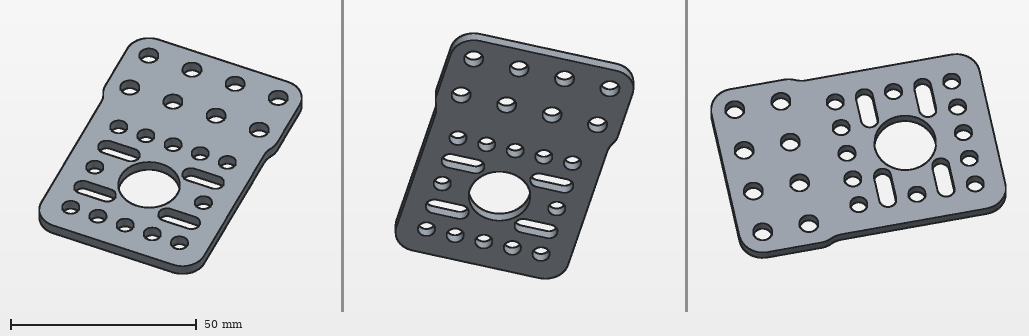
import cadquery as cq
import math

length = 73.4
head_width = 50.8
body_width = 48.0
thickness = 3.15
corner_radius = 6.4
head_side_end = 21.2

head_pitch = 12.7
head_hole_diameter = 5.15
body_pitch = 8.0
body_hole_diameter = 4.6
bore_diameter = 16.6
slot_width = 4.6
slot_length = 11.8

half_head = head_width / 2
half_body = body_width / 2
top_y = length / 2
bottom_y = -length / 2
bore_y = bottom_y + half_body

shoulder_step = half_head - half_body
shoulder_drop = math.sqrt(shoulder_step * (4 * corner_radius - shoulder_step))
shoulder_top_y = top_y - head_side_end
shoulder_middle = (half_head - shoulder_step / 2, shoulder_top_y - shoulder_drop / 2)
shoulder_bottom = (half_body, shoulder_top_y - shoulder_drop)


def make_plate():
    """Half outline on the +X side, mirrored and extruded, with rounded corners."""
    plate = (
        cq.Workplane("XY")
        .moveTo(0, top_y)
        .lineTo(half_head, top_y)
        .lineTo(half_head, shoulder_top_y)
        .tangentArcPoint(shoulder_middle, relative=False)
        .tangentArcPoint(shoulder_bottom, relative=False)
        .lineTo(half_body, bottom_y)
        .lineTo(0, bottom_y)
        .mirrorY()
        .extrude(thickness)
    )
    for end_face in (">Y", "<Y"):
        plate = plate.faces(end_face).edges("|Z").fillet(corner_radius)
    return plate


def through_holes(points, diameter):
    return cq.Workplane("XY").pushPoints(points).circle(diameter / 2).extrude(thickness)


head_points = [
    (column * head_pitch, top_y - corner_radius - row * head_pitch)
    for column in (-1.5, -0.5, 0.5, 1.5)
    for row in (0, 1)
]

body_points = [
    (column * body_pitch, bore_y + row * body_pitch)
    for row in (-2, 2)
    for column in range(-2, 3)
]
body_points += [(side * 2 * body_pitch, bore_y) for side in (-1, 1)]

slot_x = 2 * body_pitch - (slot_length - slot_width) / 2
slot_points = [
    (side * slot_x, bore_y + row * body_pitch)
    for side in (-1, 1)
    for row in (-1, 1)
]
slots = cq.Workplane("XY").pushPoints(slot_points).slot2D(slot_length, slot_width).extrude(thickness)

result = (
    make_plate()
    .cut(through_holes(head_points, head_hole_diameter))
    .cut(through_holes(body_points, body_hole_diameter))
    .cut(through_holes([(0, bore_y)], bore_diameter))
    .cut(slots)
)